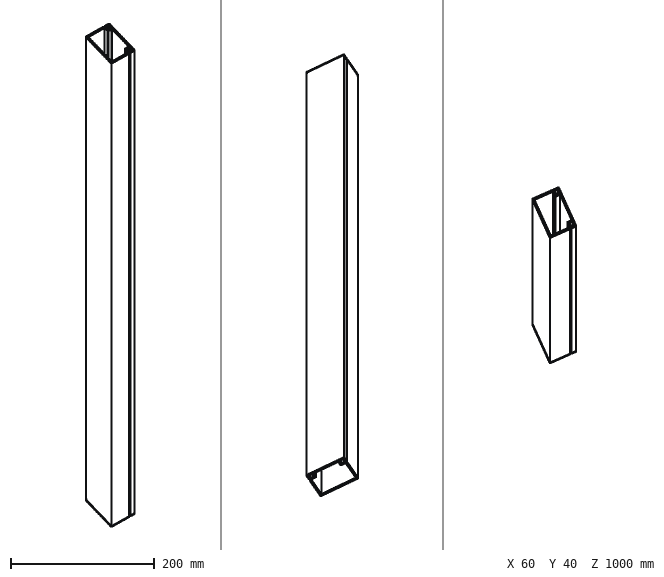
import cadquery as cq

width = 60.0
depth = 40.0
length = 1000.0

wall = 2.0

skirt_depth = 7.0
bevel_height = 2.5
leg_reach = 10.0
leg_thickness = 1.5

half_width = width / 2
half_depth = depth / 2
wall_inner = half_width - wall
floor_top = -half_depth + wall
lid_underside = half_depth - wall
flange_top = half_depth - skirt_depth
flange_underside = flange_top - wall
bevel_start = flange_top - bevel_height
leg_inner = half_width - leg_reach
leg_outer = leg_inner + leg_thickness


def extrude_symmetric(right_half):
    """Extrude a profile given by its right half, whose ends join straight across to the mirrored half."""
    left_half = [(-x, y) for x, y in reversed(right_half)]
    return cq.Workplane("XY").polyline(right_half + left_half).close().extrude(length)


def make_base():
    """Channel whose beveled walls end in flanges turned inward."""
    return extrude_symmetric([
        (half_width, -half_depth),
        (half_width, bevel_start),
        (wall_inner, flange_top),
        (leg_outer, flange_top),
        (leg_outer, flange_underside),
        (wall_inner, flange_underside),
        (wall_inner, floor_top),
    ])


def make_lid():
    """Cover with outer skirts flush with the base, and inner legs against the flange ends."""
    leg = [
        (leg_inner, lid_underside),
        (leg_inner, flange_underside),
        (leg_outer, flange_underside),
        (leg_outer, lid_underside),
    ]
    skirt = [
        (wall_inner, lid_underside),
        (wall_inner, flange_top),
        (half_width, flange_top),
        (half_width, half_depth),
    ]
    return extrude_symmetric(leg + skirt)


base = make_base()
lid = make_lid()

result = cq.Compound.makeCompound([base.val(), lid.val()])